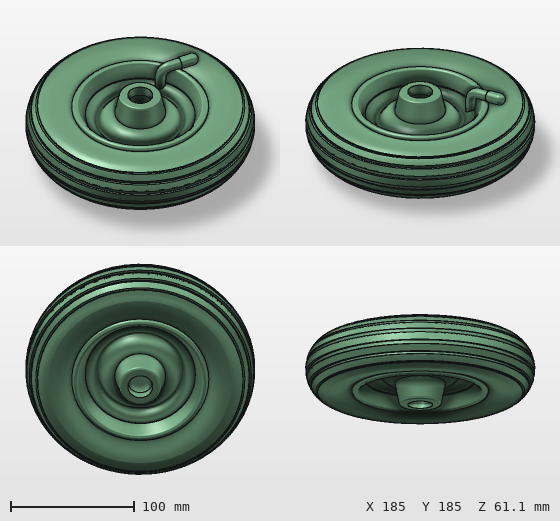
import cadquery as cq
import math


wheel_radius = 92.5
half_width = 22.5
crown_radius = 74.0
sidewall_arc_radius = 37.0
tread_grooves = [(3.1, 6.5, 90.6), (12.0, 14.0, 87.9), (18.7, 19.6, 82.9)]

bead_radius = 3.0
bead_ring_radius = 52.4
bead_z = 17.8
wall_foot_radius = 44.4
wall_foot_z = 9.8
foot_step = 1.0

bore_radius = 10.0
hub_half_length = 30.0
hub_foot_radius = 20.5
hub_foot_z = 11.8
hub_draft = 11.6
hub_edge_fillet = 2.2
dome_arc_radius = 13.9
shoulder_arc_radius = 9.5
valley_fillet = 1.5

sleeve_half_length = 21.3
sleeve_radius = 13.0

valve_y = 42.0
stem_radius = 4.3
stem_bottom_z = 0.0
stem_bend_z = 16.6
elbow_radius = 8.3
stem_rise = 4.2
stem_heading = 44.0
stem_straight_length = 9.2
cap_radius = 4.8
cap_length = 10.5


def on_arc(center, radius, angle):
    """Point of an arc in the R-Z plane; the angle is in degrees from the outward direction."""
    turn = math.radians(angle)
    return (center[0] + radius * math.cos(turn), center[1] + radius * math.sin(turn))


def revolve(profile):
    """Turn a closed R-Z profile once around the Z axis."""
    return profile.close().revolve(360, (0, 0, 0), (0, 1, 0))


def tube(inner_radius, outer_radius, bottom, top):
    return (
        cq.Workplane("XY", origin=(0, 0, bottom))
        .circle(outer_radius)
        .circle(inner_radius)
        .extrude(top - bottom)
    )


def mirrored(point):
    return (point[0], -point[1])


bead_center = (bead_ring_radius, bead_z)
bead_outer = (bead_ring_radius + bead_radius, bead_z)
bead_inner_foot = (bead_ring_radius, bead_z - bead_radius)
bead_lower_middle = on_arc(bead_center, bead_radius, -45)


def make_tyre():
    crown = (crown_radius, half_width)
    chord = math.dist(bead_outer, crown)
    sagitta = sidewall_arc_radius - math.sqrt(sidewall_arc_radius**2 - chord**2 / 4)
    across = ((bead_outer[1] - crown[1]) / chord, (crown[0] - bead_outer[0]) / chord)
    sidewall_middle = (
        (bead_outer[0] + crown[0]) / 2 + sagitta * across[0],
        (bead_outer[1] + crown[1]) / 2 + sagitta * across[1],
    )
    tyre = revolve(
        cq.Workplane("XZ")
        .moveTo(*bead_inner_foot)
        .lineTo(*mirrored(bead_inner_foot))
        .threePointArc(mirrored(bead_lower_middle), mirrored(bead_outer))
        .threePointArc(mirrored(sidewall_middle), mirrored(crown))
        .ellipseArc(wheel_radius - crown_radius, half_width, -90, 90, startAtCurrent=True)
        .threePointArc(sidewall_middle, bead_outer)
        .threePointArc(bead_lower_middle, bead_inner_foot)
    )
    cut_radius = 1.1 * wheel_radius
    for lower, upper, floor_radius in tread_grooves:
        tyre = tyre.cut(tube(floor_radius, cut_radius, lower, upper))
        tyre = tyre.cut(tube(floor_radius, cut_radius, -upper, -lower))
    return tyre


def make_half_rim():
    """Upper half of the rim, from the bore to the bead, down to the mid-plane."""
    cone_run = (hub_half_length - hub_foot_z) * math.tan(math.radians(hub_draft))
    hub_corner_radius = hub_foot_radius - cone_run
    fillet_reach = hub_edge_fillet * math.tan(math.radians(90 - hub_draft) / 2)
    fillet_center = (hub_corner_radius - fillet_reach, hub_half_length - hub_edge_fillet)
    fillet_inner = on_arc(fillet_center, hub_edge_fillet, 90)
    fillet_middle = on_arc(fillet_center, hub_edge_fillet, (90 + hub_draft) / 2)
    fillet_outer = on_arc(fillet_center, hub_edge_fillet, hub_draft)
    hub_foot = (hub_foot_radius, hub_foot_z)

    shoulder_end = (wall_foot_radius, wall_foot_z - foot_step)
    dome_center = (hub_foot_radius, hub_foot_z - dome_arc_radius)
    shoulder_center = (wall_foot_radius, shoulder_end[1] - shoulder_arc_radius)
    dome_reach = dome_arc_radius + valley_fillet
    shoulder_reach = shoulder_arc_radius + valley_fillet
    span = math.dist(dome_center, shoulder_center)
    base_angle = math.degrees(
        math.atan2(shoulder_center[1] - dome_center[1], shoulder_center[0] - dome_center[0])
    )
    dome_corner = math.degrees(
        math.acos((span**2 + dome_reach**2 - shoulder_reach**2) / (2 * span * dome_reach))
    )
    dome_angle = base_angle + dome_corner
    valley_center = on_arc(dome_center, dome_reach, dome_angle)
    shoulder_angle = math.degrees(
        math.atan2(valley_center[1] - shoulder_center[1], valley_center[0] - shoulder_center[0])
    )
    dome_middle = on_arc(dome_center, dome_arc_radius, (90 + dome_angle) / 2)
    dome_end = on_arc(dome_center, dome_arc_radius, dome_angle)
    valley_bottom = on_arc(valley_center, valley_fillet, -90)
    shoulder_start = on_arc(shoulder_center, shoulder_arc_radius, shoulder_angle)
    shoulder_middle = on_arc(shoulder_center, shoulder_arc_radius, (90 + shoulder_angle) / 2)

    wall_foot = (wall_foot_radius, wall_foot_z)
    foot_angle = math.degrees(math.atan2(wall_foot_z - bead_z, wall_foot_radius - bead_ring_radius))
    tangent_swing = math.degrees(math.acos(bead_radius / math.dist(wall_foot, bead_center)))
    tangent_angle = foot_angle - tangent_swing + 360
    bead_start = on_arc(bead_center, bead_radius, tangent_angle)
    bead_top = on_arc(bead_center, bead_radius, tangent_angle / 2)

    return revolve(
        cq.Workplane("XZ")
        .moveTo(bore_radius, 0)
        .lineTo(bore_radius, hub_half_length)
        .lineTo(*fillet_inner)
        .threePointArc(fillet_middle, fillet_outer)
        .lineTo(*hub_foot)
        .threePointArc(dome_middle, dome_end)
        .threePointArc(valley_bottom, shoulder_start)
        .threePointArc(shoulder_middle, shoulder_end)
        .lineTo(*wall_foot)
        .lineTo(*bead_start)
        .threePointArc(bead_top, bead_outer)
        .threePointArc(bead_lower_middle, bead_inner_foot)
        .lineTo(bead_ring_radius, 0)
    )


def make_rim(sleeve, stem):
    """Whole rim, hollowed to seat the sleeve around the bore and the foot of the stem."""
    upper_half = make_half_rim()
    rim = upper_half.union(upper_half.mirror("XY"))
    return rim.cut(sleeve).cut(stem)


def make_sleeve():
    return tube(bore_radius, sleeve_radius, -sleeve_half_length, sleeve_half_length)


elbow_center = (elbow_radius, stem_bend_z)
elbow_end = on_arc(elbow_center, elbow_radius, 90 + stem_rise)
stem_end = on_arc(elbow_end, stem_straight_length, stem_rise)


def place_valve(shape):
    return shape.rotate((0, 0, 0), (0, 0, 1), stem_heading).translate((0, valve_y, 0))


def make_stem():
    elbow_middle = on_arc(elbow_center, elbow_radius, (180 + 90 + stem_rise) / 2)
    path = (
        cq.Workplane("XZ")
        .moveTo(0, stem_bottom_z)
        .lineTo(0, stem_bend_z)
        .threePointArc(elbow_middle, elbow_end)
        .lineTo(*stem_end)
    )
    stem = cq.Workplane("XY", origin=(0, 0, stem_bottom_z)).circle(stem_radius).sweep(path)
    return place_valve(stem)


def make_cap():
    """Round cap that butts against the end of the stem and closes in a half ball."""
    tip_middle = on_arc((0, cap_length), cap_radius, 45)
    upright = revolve(
        cq.Workplane("XZ")
        .lineTo(cap_radius, 0)
        .lineTo(cap_radius, cap_length)
        .threePointArc(tip_middle, (0, cap_length + cap_radius))
    )
    leaning = upright.rotate((0, 0, 0), (0, 1, 0), 90 - stem_rise)
    return place_valve(leaning.translate((stem_end[0], 0, stem_end[1])))


tyre = make_tyre()
sleeve = make_sleeve()
valve_stem = make_stem()
valve_cap = make_cap()
rim = make_rim(sleeve, valve_stem)

bodies = [tyre, rim, sleeve, valve_stem, valve_cap]
result = cq.Compound.makeCompound([body.solids().val() for body in bodies])